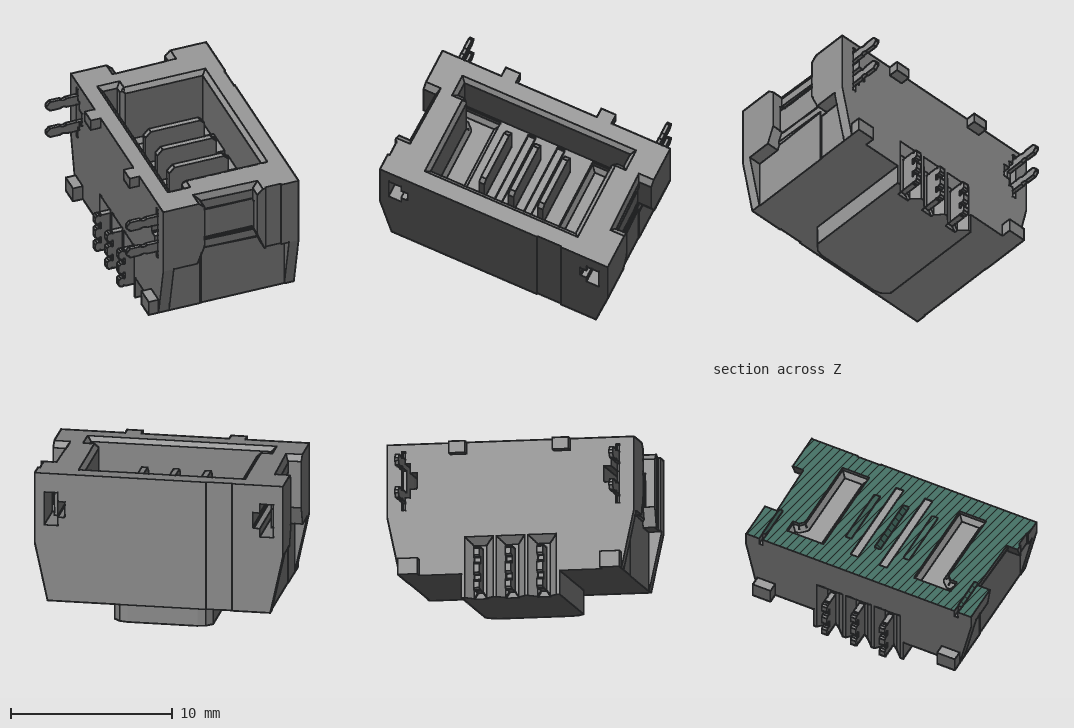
import cadquery as cq


HALF_WIDTH = 7.8
DEPTH = 9.0
BODY_BOTTOM = -8.25
TAPER_TOP = -4.55
BOTTOM_HALF_WIDTH = 7.0
TUB_HALF_WIDTH = 3.1
TUB_BOTTOM = -9.75
TUB_BACK = 7.8
TUB_CORNER = 0.4
TUB_CROWN_RISE = 0.13
TUB_CROWN_RUN = 0.5

PANEL_FRONT = 0.7
PANEL_BACK = 8.36
PANEL_STEP_WIDTH = 0.1
PANEL_STEP_X = 6.98
PANEL_BACK_X = 6.965
PANEL_TOP = -4.05
PANEL_TOP_SLOPE = 1.5

RECESS_FRONT = 2.75
RECESS_BACK = 6.25
RECESS_FRONT_X = 6.98
RECESS_BACK_X = 7.06
RECESS_FLARE_TOP = -3.35
RECESS_FLARE = 0.48
RECESS_CHAMFER_Y = 0.38
RECESS_CHAMFER_X = 0.2
RECESS_CHAMFER_Z = 0.35
RECESS_BEVEL_X = 0.03
RECESS_BEVEL_Z = 0.09

CLIP_INNER_X = 6.65
CLIP_THICKNESS = 0.23
CLIP_OUTER_X = CLIP_INNER_X + CLIP_THICKNESS
CLIP_TOP = -0.45
CLIP_BOTTOM = -4.13
CLIP_FRONT = 0.5
CLIP_BEND_END = 3.4
CLIP_BEND_OFFSET = 0.06
CLIP_BACK = 7.0
PRONG_HEIGHTS = (-1.26, -3.28)
PRONG_WIDTH = 0.66
PRONG_REACH = 2.05
PRONG_TIP_LENGTH = 0.22
PRONG_TIP_WIDTH = 0.18
NECK_START = 0.74
NECK_LENGTH = 0.4
NECK_DIP = 0.08
PASSAGE_INNER_X = 6.35
PASSAGE_TOP = -1.22
PASSAGE_BOTTOM = -3.35
PASSAGE_BACK_OUTER_X = 7.2
WINDOW_MARGIN = 0.12
STEM_INNER_X = 5.9
STEM_TOP = -1.8
STEM_BOTTOM = -2.81
STEM_CORNER = 0.08

CAVITY_HALF_WIDTH = 4.96
CAVITY_WIDE_HALF_WIDTH = 5.67
CAVITY_FRONT = 1.3
CAVITY_STEP_Y = 2.24
CAVITY_BACK = 7.65
CAVITY_CORNER = 0.28
RIM_CHAMFER = 0.28
FLOOR = -3.5
SIDE_FLOOR = -3.86
SIDE_POCKET_CHAMFER = 0.3
SIDE_POCKET_FRONT = 1.41
ISLAND_HALF_WIDTH = 3.15
FLOOR_GROOVE_X = 1.0
FLOOR_GROOVE_WIDTH = 0.5
FLOOR_GROOVE_DEPTH = 0.2

PITCH = 2.0
CONTACT_XS = (-PITCH, 0, PITCH)
CONTACT_THICKNESS = 0.36
BLADE_FRONT = 2.6
BLADE_BACK = 6.53
BLADE_TOP = -1.2
BLADE_FRONT_CHAMFER = 0.37
BLADE_BACK_CHAMFER = 0.28
BLADE_SEATING = 1.0
TAIL_TOP = -6.69
TAIL_SEATING = 1.0
TOOTH_HEIGHTS = (0.64, 0.76, 0.64)
TOOTH_GAP = 0.33
TAIL_BOTTOM = TAIL_TOP - sum(TOOTH_HEIGHTS) - (len(TOOTH_HEIGHTS) - 1) * TOOTH_GAP
TOOTH_ROOT_Y = -0.38
TOOTH_FACE_Y = -0.73
TOOTH_CORNER = 0.12
TOOTH_DIP = 0.06

FUNNEL_WIDTH = 1.8
FUNNEL_TOP = -5.93
FUNNEL_DEPTH = 0.5
NOTCH_DEPTH = 0.2

STANDOFF_REACH = 0.65
TOP_STANDOFF_X = 3.27
TOP_STANDOFF_WIDTH = 1.0
TOP_STANDOFF_HEIGHT = 0.73
BOTTOM_STANDOFF_WIDTH = 1.23
BOTTOM_STANDOFF_HEIGHT = 1.0

BACK_MARK = (-4.6, -2.96)
BACK_MARK_DEPTH = 0.06
END_MARK = (6.82, 7.85)
END_MARK_DEPTH = 0.12

OVERCUT = 1.0

BEVEL_ANGLE = 45


def block(x_range, y_range, z_range):
    """Axis-aligned box given by its two limits along each axis."""
    size = [limits[1] - limits[0] for limits in (x_range, y_range, z_range)]
    corner = (x_range[0], y_range[0], z_range[0])
    return cq.Workplane("XY").box(*size, centered=False).translate(corner)


def side_profile(points, x_start, x_end):
    """Prism along X from a (Y, Z) outline."""
    return cq.Workplane("YZ", origin=(x_start, 0, 0)).polyline(points).close().extrude(x_end - x_start)


def front_profile(points, y_start, y_end):
    """Prism along Y from an (X, Z) outline."""
    return cq.Workplane("XZ", origin=(0, y_end, 0)).polyline(points).close().extrude(y_end - y_start)


def plan_profile(points, z_bottom, z_top):
    """Prism along Z from an (X, Y) outline."""
    return cq.Workplane("XY", origin=(0, 0, z_bottom)).polyline(points).close().extrude(z_top - z_bottom)


def mirrored(body):
    """Copy of a body on the opposite end of the housing."""
    return body.mirror("YZ")


def shell():
    """Tapered main block with the narrower tub below it."""
    block_outline = [
        (-HALF_WIDTH, 0),
        (HALF_WIDTH, 0),
        (HALF_WIDTH, TAPER_TOP),
        (BOTTOM_HALF_WIDTH, BODY_BOTTOM),
        (-BOTTOM_HALF_WIDTH, BODY_BOTTOM),
        (-HALF_WIDTH, TAPER_TOP),
    ]
    corner_x = TUB_HALF_WIDTH - TUB_CORNER
    crown_x = corner_x - TUB_CROWN_RUN
    crown_y = TUB_BACK - TUB_CROWN_RISE
    tub_outline = [
        (-TUB_HALF_WIDTH, 0),
        (TUB_HALF_WIDTH, 0),
        (TUB_HALF_WIDTH, crown_y - TUB_CORNER),
        (corner_x, crown_y),
        (crown_x, TUB_BACK),
        (-crown_x, TUB_BACK),
        (-corner_x, crown_y),
        (-TUB_HALF_WIDTH, crown_y - TUB_CORNER),
    ]
    tub = plan_profile(tub_outline, TUB_BOTTOM, BODY_BOTTOM)
    return front_profile(block_outline, 0, DEPTH).union(tub)


def panel_cutter():
    """Panel sunk below the +X overhang in three planes, each a little deeper toward the back."""
    outside = HALF_WIDTH + OVERCUT
    heights = (BODY_BOTTOM - OVERCUT, TAPER_TOP)
    step_back = RECESS_FRONT + PANEL_STEP_WIDTH
    front = block((BOTTOM_HALF_WIDTH, outside), (PANEL_FRONT, RECESS_FRONT), heights)
    step = block((PANEL_STEP_X, outside), (RECESS_FRONT, step_back), heights)
    back = block((PANEL_BACK_X, outside), (step_back, PANEL_BACK), heights)
    return front.union(step).union(back)


def recess_floor_x(y):
    """X of the drafted floor of the +X recess."""
    draft = (RECESS_BACK_X - RECESS_FRONT_X) / (RECESS_BACK - RECESS_FRONT)
    return RECESS_FRONT_X + draft * (y - RECESS_FRONT)


def recess_opening():
    """Outline of the +X recess, flaring toward the panel, as a prism along X."""
    return side_profile(
        [
            (RECESS_FRONT, OVERCUT),
            (RECESS_BACK, OVERCUT),
            (RECESS_BACK, RECESS_FLARE_TOP),
            (RECESS_BACK + RECESS_FLARE, TAPER_TOP),
            (RECESS_FRONT - RECESS_FLARE, TAPER_TOP),
            (RECESS_FRONT, RECESS_FLARE_TOP),
        ],
        STEM_INNER_X,
        HALF_WIDTH + OVERCUT,
    )


def recess_cutter():
    """Recess in the +X end with a drafted floor; the panel's back part runs up into it."""
    outside = HALF_WIDTH + OVERCUT
    above_floor = plan_profile(
        [
            (recess_floor_x(0), 0),
            (outside, 0),
            (outside, DEPTH),
            (recess_floor_x(DEPTH), DEPTH),
        ],
        TAPER_TOP,
        OVERCUT,
    )

    def panel_section(y):
        floor_x = recess_floor_x(y)
        slope_end = PANEL_TOP - PANEL_TOP_SLOPE * (floor_x - PANEL_BACK_X)
        return [
            cq.Vector(floor_x, y, PANEL_TOP),
            cq.Vector(outside, y, PANEL_TOP),
            cq.Vector(outside, y, TAPER_TOP),
            cq.Vector(PANEL_BACK_X, y, TAPER_TOP),
            cq.Vector(PANEL_BACK_X, y, slope_end),
        ]

    panel_ends = (RECESS_FRONT + PANEL_STEP_WIDTH, RECESS_BACK + RECESS_FLARE)
    sections = [cq.Wire.makePolygon(panel_section(y), close=True) for y in panel_ends]
    panel_head = cq.Workplane(cq.Solid.makeLoft(sections, True))
    return above_floor.union(panel_head).intersect(recess_opening())


def recess_mouth_cutter():
    """Chamfer around the upper mouth of the +X recess, easing into the floor by a narrow bevel."""

    def mouth(depth, spread_y, rise_x):
        outside = HALF_WIDTH + OVERCUT
        front = RECESS_FRONT - spread_y
        back = RECESS_BACK + spread_y
        corners = [
            cq.Vector(RECESS_FRONT_X - rise_x, front, -depth),
            cq.Vector(outside, front, -depth),
            cq.Vector(outside, back, -depth),
            cq.Vector(RECESS_BACK_X - rise_x, back, -depth),
        ]
        return cq.Wire.makePolygon(corners, close=True)

    top = mouth(0, RECESS_CHAMFER_Y, RECESS_CHAMFER_X)
    middle = mouth(RECESS_CHAMFER_Z, 0, RECESS_BEVEL_X)
    bottom = mouth(RECESS_CHAMFER_Z + RECESS_BEVEL_Z, 0, 0)
    chamfer = cq.Workplane(cq.Solid.makeLoft([top, middle], True))
    return chamfer.union(cq.Workplane(cq.Solid.makeLoft([middle, bottom], True)))


def clip_passage_cutter():
    """T-shaped passage along Y through the +X end, its side window and the slot for the clip."""
    passage_outline = [
        (CLIP_OUTER_X, PASSAGE_TOP),
        (CLIP_OUTER_X, PASSAGE_BOTTOM),
        (PASSAGE_INNER_X, PASSAGE_BOTTOM),
        (PASSAGE_INNER_X, STEM_BOTTOM),
        (STEM_INNER_X + STEM_CORNER, STEM_BOTTOM),
        (STEM_INNER_X, STEM_BOTTOM + STEM_CORNER),
        (STEM_INNER_X, STEM_TOP),
        (PASSAGE_INNER_X, STEM_TOP),
        (PASSAGE_INNER_X, PASSAGE_TOP),
    ]
    passage = front_profile(passage_outline, -OVERCUT, DEPTH + OVERCUT)
    window = block(
        (CLIP_OUTER_X, HALF_WIDTH),
        (RECESS_FRONT, RECESS_BACK),
        (PASSAGE_BOTTOM - WINDOW_MARGIN, PASSAGE_TOP + WINDOW_MARGIN),
    )
    slot = block((CLIP_INNER_X, CLIP_OUTER_X), (-OVERCUT, RECESS_FRONT), (CLIP_BOTTOM, CLIP_TOP))
    back_passage = block(
        (PASSAGE_INNER_X, PASSAGE_BACK_OUTER_X),
        (RECESS_BACK, DEPTH + OVERCUT),
        (PASSAGE_BOTTOM, PASSAGE_TOP),
    )
    return passage.union(window).union(slot).union(back_passage)


def cavity_outline(spread, corner):
    """Cavity plan, wider near the front; the corners where it narrows can be cut off."""
    narrow = CAVITY_HALF_WIDTH + spread
    wide = CAVITY_WIDE_HALF_WIDTH + spread
    step = CAVITY_STEP_Y + spread
    front = CAVITY_FRONT - spread
    back = CAVITY_BACK + spread
    right_half = [(wide, front), (wide, step)]
    if corner:
        right_half += [(narrow + corner, step), (narrow, step + corner)]
    else:
        right_half += [(narrow, step)]
    right_half += [(narrow, back)]
    return right_half + [(-x, y) for x, y in reversed(right_half)]


def side_pocket_cutter():
    """Pocket with sloping walls in the floor between the contact island and the +X wall."""
    outline = [
        (ISLAND_HALF_WIDTH, SIDE_POCKET_FRONT),
        (CAVITY_WIDE_HALF_WIDTH, SIDE_POCKET_FRONT),
        (CAVITY_WIDE_HALF_WIDTH, CAVITY_STEP_Y),
        (CAVITY_HALF_WIDTH + CAVITY_CORNER, CAVITY_STEP_Y),
        (CAVITY_HALF_WIDTH, CAVITY_STEP_Y + CAVITY_CORNER),
        (CAVITY_HALF_WIDTH, CAVITY_BACK),
        (ISLAND_HALF_WIDTH, CAVITY_BACK),
    ]
    well = plan_profile(outline, SIDE_FLOOR, FLOOR)
    slopes = (
        cq.Workplane("XY", origin=(0, 0, SIDE_FLOOR))
        .polyline(outline)
        .close()
        .extrude(-SIDE_POCKET_CHAMFER, taper=BEVEL_ANGLE)
    )
    return well.union(slopes)


def cavity_cutter():
    """Mating cavity with its chamfered rim, side pockets and the grooves between contacts."""
    cutter = plan_profile(cavity_outline(0, CAVITY_CORNER), FLOOR, OVERCUT)
    rim = (
        cq.Workplane("XY")
        .polyline(cavity_outline(RIM_CHAMFER, 0))
        .close()
        .extrude(-RIM_CHAMFER, taper=BEVEL_ANGLE)
    )
    pocket = side_pocket_cutter()
    cutter = cutter.union(rim).union(pocket).union(mirrored(pocket))
    for groove_x in (-FLOOR_GROOVE_X, FLOOR_GROOVE_X):
        half = FLOOR_GROOVE_WIDTH / 2
        groove = block(
            (groove_x - half, groove_x + half),
            (SIDE_POCKET_FRONT, CAVITY_BACK),
            (FLOOR - FLOOR_GROOVE_DEPTH, FLOOR),
        )
        cutter = cutter.union(groove)
    return cutter


def funnel_cutter(contact_x):
    """Funnel in the front wall around a tail, open at the bottom, with a notch below the tail."""
    half = FUNNEL_WIDTH / 2
    below = TUB_BOTTOM - OVERCUT
    funnel = (
        cq.Workplane("XZ")
        .polyline([(-half, FUNNEL_TOP), (half, FUNNEL_TOP), (half, below), (-half, below)])
        .close()
        .extrude(-FUNNEL_DEPTH, taper=BEVEL_ANGLE)
    )
    floor_half = half - FUNNEL_DEPTH
    tail_half = CONTACT_THICKNESS / 2
    notch_outline = [
        (-floor_half, TUB_BOTTOM),
        (floor_half, TUB_BOTTOM),
        (tail_half, TAIL_BOTTOM),
        (-tail_half, TAIL_BOTTOM),
    ]
    notch = front_profile(notch_outline, FUNNEL_DEPTH, FUNNEL_DEPTH + NOTCH_DEPTH)
    return funnel.union(notch).translate((contact_x, 0, 0))


def standoffs():
    """Two standoffs at the rim and two at the lower corners of the front wall."""
    half = TOP_STANDOFF_WIDTH / 2
    upper = block(
        (TOP_STANDOFF_X - half, TOP_STANDOFF_X + half),
        (-STANDOFF_REACH, 0),
        (-TOP_STANDOFF_HEIGHT, 0),
    )
    lower = block(
        (BOTTOM_HALF_WIDTH - BOTTOM_STANDOFF_WIDTH, BOTTOM_HALF_WIDTH),
        (-STANDOFF_REACH, 0),
        (BODY_BOTTOM, BODY_BOTTOM + BOTTOM_STANDOFF_HEIGHT),
    )
    return [upper, lower, mirrored(upper), mirrored(lower)]


def tail(contact_x):
    """Contact tail: a plate through the front wall ending in a row of teeth nicked at their roots."""
    outline = [(TAIL_SEATING, TAIL_TOP)]
    top = TAIL_TOP
    for tooth_height in TOOTH_HEIGHTS:
        bottom = top - tooth_height
        outline += [
            (TOOTH_ROOT_Y + TOOTH_DIP, top),
            (TOOTH_ROOT_Y, top - TOOTH_DIP),
            (TOOTH_ROOT_Y - TOOTH_DIP, top),
            (TOOTH_FACE_Y + TOOTH_CORNER, top),
            (TOOTH_FACE_Y, top - TOOTH_CORNER),
            (TOOTH_FACE_Y, bottom + TOOTH_CORNER),
            (TOOTH_FACE_Y + TOOTH_CORNER, bottom),
            (TOOTH_ROOT_Y - TOOTH_DIP, bottom),
            (TOOTH_ROOT_Y, bottom + TOOTH_DIP),
            (TOOTH_ROOT_Y + TOOTH_DIP, bottom),
        ]
        top = bottom - TOOTH_GAP
    outline.append((TAIL_SEATING, TAIL_BOTTOM))
    half = CONTACT_THICKNESS / 2
    return side_profile(outline, contact_x - half, contact_x + half)


def blade(contact_x):
    """Contact blade: an upright plate seated in the cavity floor, with its top corners cut off."""
    outline = [
        (BLADE_FRONT, FLOOR - BLADE_SEATING),
        (BLADE_FRONT, BLADE_TOP - BLADE_FRONT_CHAMFER),
        (BLADE_FRONT + BLADE_FRONT_CHAMFER, BLADE_TOP),
        (BLADE_BACK - BLADE_BACK_CHAMFER, BLADE_TOP),
        (BLADE_BACK, BLADE_TOP - BLADE_BACK_CHAMFER),
        (BLADE_BACK, FLOOR - BLADE_SEATING),
    ]
    half = CONTACT_THICKNESS / 2
    return side_profile(outline, contact_x - half, contact_x + half)


def prong(height):
    """Clip prong pointing out of the front wall, necked on both edges, with a tapered tip."""
    half = PRONG_WIDTH / 2
    tip_half = PRONG_TIP_WIDTH / 2
    tip_start = PRONG_TIP_LENGTH - PRONG_REACH
    neck_middle = -NECK_START - NECK_LENGTH / 2
    neck_end = -NECK_START - NECK_LENGTH
    return (
        cq.Workplane("YZ", origin=(CLIP_INNER_X, 0, height))
        .moveTo(CLIP_FRONT, half)
        .lineTo(-NECK_START, half)
        .threePointArc((neck_middle, half - NECK_DIP), (neck_end, half))
        .lineTo(tip_start, half)
        .lineTo(-PRONG_REACH, tip_half)
        .lineTo(-PRONG_REACH, -tip_half)
        .lineTo(tip_start, -half)
        .lineTo(neck_end, -half)
        .threePointArc((neck_middle, NECK_DIP - half), (-NECK_START, -half))
        .lineTo(CLIP_FRONT, -half)
        .close()
        .extrude(CLIP_THICKNESS)
    )


def clip():
    """Retention clip at the +X end: a plate with two prongs and a tongue bent slightly outward."""
    plate = block((CLIP_INNER_X, CLIP_OUTER_X), (CLIP_FRONT, RECESS_FRONT), (CLIP_BOTTOM, CLIP_TOP))
    tongue_outline = [
        (CLIP_INNER_X, RECESS_FRONT),
        (CLIP_OUTER_X, RECESS_FRONT),
        (CLIP_OUTER_X + CLIP_BEND_OFFSET, CLIP_BEND_END),
        (CLIP_OUTER_X + CLIP_BEND_OFFSET, CLIP_BACK),
        (CLIP_INNER_X + CLIP_BEND_OFFSET, CLIP_BACK),
        (CLIP_INNER_X + CLIP_BEND_OFFSET, CLIP_BEND_END),
    ]
    plate = plate.union(plan_profile(tongue_outline, PASSAGE_BOTTOM, PASSAGE_TOP))
    for height in PRONG_HEIGHTS:
        plate = plate.union(prong(height))
    return plate


def mark_cutters():
    """Shallow grooves: one down the back wall and one down the upper part of the +X end."""
    back = block(BACK_MARK, (DEPTH - BACK_MARK_DEPTH, DEPTH), (BODY_BOTTOM, 0))
    end = block((HALF_WIDTH - END_MARK_DEPTH, HALF_WIDTH), END_MARK, (TAPER_TOP, 0))
    return [back, end]


tails = [tail(x) for x in CONTACT_XS]
blades = [blade(x) for x in CONTACT_XS]
right_clip = clip()
clips = [right_clip, mirrored(right_clip)]

housing = shell()
for end_cutter in (panel_cutter(), recess_cutter(), recess_mouth_cutter(), clip_passage_cutter()):
    housing = housing.cut(end_cutter).cut(mirrored(end_cutter))
housing = housing.cut(cavity_cutter())
for x in CONTACT_XS:
    housing = housing.cut(funnel_cutter(x))
for mark in mark_cutters():
    housing = housing.cut(mark)
for standoff in standoffs():
    housing = housing.union(standoff)
for insert in tails + blades + clips:
    housing = housing.cut(insert)

bodies = [housing, *tails, *blades, *clips]
result = cq.Compound.makeCompound([body.solids().val() for body in bodies])